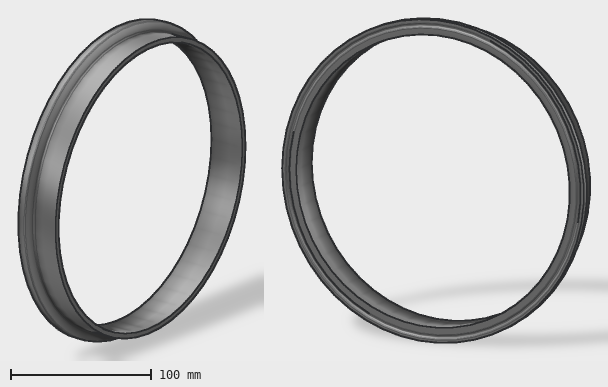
import cadquery as cq
import math

length = 28.0
flange_diameter = 233.5
tube_diameter = 219.1
wall_thickness = 3.76

back_angle = math.radians(20)
rim_width = 5.1
rim_round = 0.8
root_fillet = 1.6

groove_center_radius = 112.6
groove_radius = 1.4
groove_lip_round = 0.6

flange_radius = flange_diameter / 2
tube_radius = tube_diameter / 2
bore_radius = tube_radius - wall_thickness


def point_on_arc(center, radius, angle):
    """Point at the given angle from +X on a circle in the (X, radius) half plane."""
    return (center[0] + radius * math.cos(angle), center[1] + radius * math.sin(angle))


def make_body():
    """Revolve the tube and flange section, without the gasket groove."""
    rim_center = (rim_width, flange_radius - rim_round)
    rim_end = point_on_arc(rim_center, rim_round, back_angle)
    rim_middle = point_on_arc(rim_center, rim_round, (back_angle + math.pi / 2) / 2)

    root_center_radius = tube_radius + root_fillet
    radial_drop = rim_center[1] - root_center_radius
    taper_run = radial_drop * math.tan(back_angle)
    root_center_x = rim_width + taper_run + (rim_round + root_fillet) / math.cos(back_angle)
    root_center = (root_center_x, root_center_radius)
    root_start_angle = math.pi + back_angle
    root_end_angle = 1.5 * math.pi
    root_start = point_on_arc(root_center, root_fillet, root_start_angle)
    root_middle = point_on_arc(root_center, root_fillet, (root_start_angle + root_end_angle) / 2)

    section = (
        cq.Workplane("XY")
        .moveTo(0, bore_radius)
        .lineTo(0, flange_radius)
        .lineTo(rim_width, flange_radius)
        .threePointArc(rim_middle, rim_end)
        .lineTo(*root_start)
        .threePointArc(root_middle, (root_center_x, tube_radius))
        .lineTo(length, tube_radius)
        .lineTo(length, bore_radius)
        .close()
    )
    return section.revolve(360, (0, 0, 0), (1, 0, 0))


def make_groove():
    """Revolve the gasket groove: a circular bottom blending into convex lips."""
    center_distance = groove_radius + groove_lip_round
    lip_offset = math.sqrt(center_distance**2 - groove_lip_round**2)
    lip_angle = math.asin(groove_lip_round / center_distance)
    groove_center = (0, groove_center_radius)
    outer_lip = (groove_lip_round, groove_center_radius + lip_offset)
    inner_lip = (groove_lip_round, groove_center_radius - lip_offset)

    bottom_angle = math.pi / 2 - lip_angle
    lip_middle_angle = math.pi - bottom_angle / 2
    outer_join = point_on_arc(groove_center, groove_radius, bottom_angle)
    inner_join = point_on_arc(groove_center, groove_radius, -bottom_angle)
    bottom = (groove_radius, groove_center_radius)

    section = (
        cq.Workplane("XY")
        .moveTo(0, inner_lip[1])
        .lineTo(0, outer_lip[1])
        .threePointArc(point_on_arc(outer_lip, groove_lip_round, -lip_middle_angle), outer_join)
        .threePointArc(bottom, inner_join)
        .threePointArc(point_on_arc(inner_lip, groove_lip_round, lip_middle_angle), (0, inner_lip[1]))
        .close()
    )
    return section.revolve(360, (0, 0, 0), (1, 0, 0))


result = make_body().cut(make_groove())